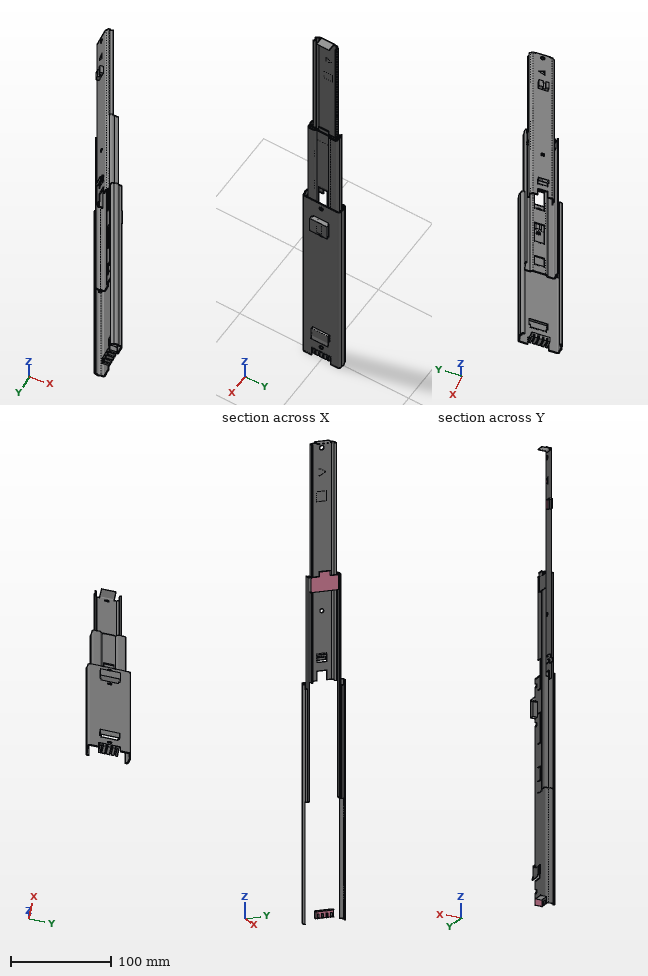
import cadquery as cq


SHEET = 1.2
HALF_SHEET = SHEET / 2
HOLE_DIAMETER = 4.5
PATH_END = -5.0
WINDOW_WIDTH = 10.5

OUTER_LENGTH = 250.0
OUTER_FRONT = -6.0
OUTER_BACK = 6.0
OUTER_HALF_WIDTH = 22.0
OUTER_BULGE_PEAK = 45.5 / 2
OUTER_BULGE_START = -3.0
OUTER_BULGE_END = 2.0
OUTER_LIP_END = 18.5
OUTER_BEND = 1.5
OUTER_HOLES_Z = (19.5, 200.5, 242.5)
NOTCH_WIDTH = 22.5
NOTCH_HEIGHT = 12.0

BRIDGE_BOTTOM = 206.5
BRIDGE_TOP = 226.0
BRIDGE_BACK = 11.0
BRIDGE_WIDTH = 20.5
BRIDGE_NECK_BACK = 7.5
BRIDGE_NECK_WIDTH = 18.0
BRIDGE_RECESS_WIDTH = 6.0

LATCH_TOP = 46.5
LATCH_STEP = 35.5
LATCH_BOTTOM = 31.0
LATCH_WIDTH = 20.0
LATCH_FOOT_WIDTH = 17.0
LATCH_PLATE_BACK = 8.5
LATCH_FOOT_BACK = 9.5

MIDDLE_BOTTOM = 127.0
MIDDLE_TOP = 361.0
MIDDLE_FRONT = -6.0
MIDDLE_BACK = 4.5
MIDDLE_HALF_WIDTH = 18.0
MIDDLE_RIDGE_FRONT = 1.7
MIDDLE_RIDGE_HALF_WIDTH = 7.0
MIDDLE_SLOPE_END = 9.5
MIDDLE_FLANGE_DROP = 0.6
MIDDLE_BULGE_PEAK_X = -3.0
MIDDLE_BULGE_END = -0.75
MIDDLE_BEND = 1.25
MIDDLE_WINDOWS_Z = ((139.5, 154.5), (180.0, 213.0), (238.5, 271.0))

INNER_BOTTOM = 250.0
INNER_BODY_TOP = 498.0
INNER_TOP = 500.0
INNER_FRONT = -7.5
INNER_BACK = 0.0
INNER_HALF_WIDTH = 13.5
INNER_WEB_HALF_WIDTH = 20.5 / 2
INNER_SHOULDER = -5.0
INNER_GROOVE_START = -3.75
INNER_GROOVE_DEPTH = 0.65
INNER_HOLE_Z = 492.5
INNER_PIN_HOLE_Z = 322.5
INNER_PIN_HOLE_DIAMETER = 4.0
END_NOTCH_HEIGHT = 10.0
END_FLANGE_WIDTH = 15.0
END_FLANGE_BACK = 2.5
END_FLANGE_BEND = 1.5
END_FLANGE_ROOT = 5.0

CLEAT_BOTTOM = 436.5
CLEAT_TOP = 447.0
CLEAT_GROOVE_LOW = -2.25
CLEAT_GROOVE_HIGH = 0.75
CLEAT_GROOVE_DEPTH = 2.0
HOOK_FRONT = -11.0

CATCH_TOP = 278.0
CATCH_PLATE_FRONT = -9.0
CATCH_STEP = 274.5
CATCH_LIP_BOTTOM = 270.0
CATCH_WINDOW_BOTTOM = 269.0

MARK_FRONT = -8.5
MARK_TAPER = 60
MARK_OUTLINE = ((4.5, 467.0), (-2.5, 471.0), (-2.5, 463.0))

CAGE_BOTTOM = 345.0
CAGE_TIP_TOP = 366.0
CAGE_TIP_WIDTH = 12.0
CAGE_FRONT = -4.5
CAGE_HALF_WIDTH = 15.0
CAGE_FLANGE_THICKNESS = 1.25

STRIP_BOTTOM = MIDDLE_BOTTOM
STRIP_TOP = 245.0
STRIP_FRONT = -1.0
STRIP_BACK = 1.5
STRIP_INSIDE = 18.5
STRIP_OUTSIDE = 20.5

BUMPER_WIDTH = 19.5
BUMPER_BOTTOM = 4.5
BUMPER_FRONT = -2.0
BUMPER_SLOT_WIDTH = 1.5
BUMPER_SLOT_HEIGHT = 4.5
BUMPER_SLOTS_Y = (-7.0, -2.5, 2.5, 7.0)


def block(x_range, y_range, z_range):
    """Box between two limits on each axis."""
    sides = [high - low for low, high in (x_range, y_range, z_range)]
    corner = (x_range[0], y_range[0], z_range[0])
    return cq.Workplane().box(*sides, centered=False).translate(corner)


def centred(width):
    return (-width / 2, width / 2)


def rail(half_path, bottom, top):
    """Bend sheet along a +Y half path that runs past y = 0, and mirror it to the -Y side."""
    length = top - bottom
    strip = half_path.offset2D(HALF_SHEET).extrude(length).translate((0, 0, bottom))
    limit = 2 * OUTER_HALF_WIDTH
    half = strip.intersect(block((-limit, limit), (0, limit), (bottom, top)))
    return half.union(half.mirror("XZ")).clean()


def hole(diameter, z):
    """Cutter through every web, along X."""
    depth = OUTER_BACK - INNER_FRONT
    return cq.Workplane("YZ", origin=(INNER_FRONT, 0, z)).circle(diameter / 2).extrude(depth)


def bent_plate(path, width):
    """Sheet bent along a path in the XZ plane, centred on y = 0."""
    return path.offset2D(HALF_SHEET).extrude(width / 2, both=True)


def outer_profile():
    lip = OUTER_FRONT + HALF_SHEET
    web = OUTER_BACK - HALF_SHEET
    side = OUTER_HALF_WIDTH - HALF_SHEET
    bulge_middle = (OUTER_BULGE_START + OUTER_BULGE_END) / 2
    return (
        cq.Workplane()
        .moveTo(lip, OUTER_LIP_END + HALF_SHEET)
        .lineTo(lip, side - OUTER_BEND)
        .tangentArcPoint((lip + OUTER_BEND, side), relative=False)
        .lineTo(OUTER_BULGE_START, side)
        .threePointArc((bulge_middle, OUTER_BULGE_PEAK - HALF_SHEET), (OUTER_BULGE_END, side))
        .lineTo(web - OUTER_BEND, side)
        .tangentArcPoint((web, side - OUTER_BEND), relative=False)
        .lineTo(web, PATH_END)
    )


def bridge_hook():
    """Mounting hook pressed out of the web, wider than its neck, with its recess cutter."""
    web_front = OUTER_BACK - SHEET
    z_range = (BRIDGE_BOTTOM, BRIDGE_TOP)
    neck = block((OUTER_BACK, BRIDGE_NECK_BACK), centred(BRIDGE_NECK_WIDTH), z_range)
    plate = block((BRIDGE_NECK_BACK, BRIDGE_BACK), centred(BRIDGE_WIDTH), z_range)
    recess = block(
        (web_front, BRIDGE_BACK - SHEET),
        centred(BRIDGE_RECESS_WIDTH),
        (BRIDGE_BOTTOM + SHEET, BRIDGE_TOP - SHEET),
    )
    return neck.union(plate), recess


def latch_hook():
    """Tab bent out of the web, stepping down to a flared foot."""
    plate = LATCH_PLATE_BACK - HALF_SHEET
    top = LATCH_TOP - HALF_SHEET
    path = (
        cq.Workplane("XZ")
        .moveTo(OUTER_BACK - HALF_SHEET, top)
        .lineTo(plate, top)
        .lineTo(plate, LATCH_STEP)
        .lineTo(LATCH_FOOT_BACK - HALF_SHEET, LATCH_BOTTOM + HALF_SHEET)
    )
    return bent_plate(path, LATCH_WIDTH)


def latch_window():
    web = (OUTER_BACK - SHEET, OUTER_BACK)
    upper = block(web, centred(LATCH_WIDTH), (LATCH_STEP, LATCH_TOP - SHEET))
    lower = block(web, centred(LATCH_FOOT_WIDTH), (LATCH_BOTTOM, LATCH_STEP))
    return upper.union(lower)


def build_outer_rail():
    body = rail(outer_profile(), 0, OUTER_LENGTH)
    body = body.cut(block((0, OUTER_BACK), centred(NOTCH_WIDTH), (0, NOTCH_HEIGHT)))
    for z in OUTER_HOLES_Z:
        body = body.cut(hole(HOLE_DIAMETER, z))
    bridge, recess = bridge_hook()
    body = body.union(bridge).cut(recess)
    return body.cut(latch_window()).union(latch_hook())


def middle_profile():
    lip = MIDDLE_FRONT + HALF_SHEET
    web = MIDDLE_BACK - HALF_SHEET
    peak = MIDDLE_HALF_WIDTH - HALF_SHEET
    side = peak - MIDDLE_FLANGE_DROP
    ridge = MIDDLE_RIDGE_FRONT + HALF_SHEET
    return (
        cq.Workplane()
        .moveTo(lip, side)
        .threePointArc((MIDDLE_BULGE_PEAK_X, peak), (MIDDLE_BULGE_END, side))
        .lineTo(web - MIDDLE_BEND, side)
        .tangentArcPoint((web, side - MIDDLE_BEND), relative=False)
        .lineTo(web, MIDDLE_SLOPE_END)
        .lineTo(ridge, MIDDLE_RIDGE_HALF_WIDTH)
        .lineTo(ridge, PATH_END)
    )


def build_middle_rail():
    body = rail(middle_profile(), MIDDLE_BOTTOM, MIDDLE_TOP)
    for window in MIDDLE_WINDOWS_Z:
        body = body.cut(block((0, MIDDLE_BACK), centred(WINDOW_WIDTH), window))
    return body


def inner_profile():
    web = INNER_FRONT + HALF_SHEET
    side = INNER_HALF_WIDTH - HALF_SHEET
    tip = INNER_BACK - HALF_SHEET
    groove_middle = (INNER_GROOVE_START + tip) / 2
    return (
        cq.Workplane()
        .moveTo(tip, side)
        .threePointArc((groove_middle, side - INNER_GROOVE_DEPTH), (INNER_GROOVE_START, side))
        .lineTo(INNER_SHOULDER, side)
        .lineTo(web, INNER_WEB_HALF_WIDTH)
        .lineTo(web, PATH_END)
    )


def end_flange():
    """Flange that bends from the top of the web over the end of the rail."""
    web = INNER_FRONT + HALF_SHEET
    top = INNER_TOP - HALF_SHEET
    path = (
        cq.Workplane("XZ")
        .moveTo(web, top - END_FLANGE_ROOT)
        .lineTo(web, top - END_FLANGE_BEND)
        .tangentArcPoint((web + END_FLANGE_BEND, top), relative=False)
        .lineTo(END_FLANGE_BACK - HALF_SHEET, top)
    )
    return bent_plate(path, END_FLANGE_WIDTH)


def catch_hook():
    """Tab bent out of the web and turned down, with a lip stepped away from the web."""
    top = CATCH_TOP - HALF_SHEET
    plate = CATCH_PLATE_FRONT + HALF_SHEET
    step = CATCH_STEP - HALF_SHEET
    tip = HOOK_FRONT + HALF_SHEET
    path = (
        cq.Workplane("XZ")
        .moveTo(INNER_FRONT + HALF_SHEET, top)
        .lineTo(plate, top)
        .lineTo(plate, step)
        .lineTo(tip, step)
        .lineTo(tip, CATCH_LIP_BOTTOM + HALF_SHEET)
    )
    return bent_plate(path, WINDOW_WIDTH)


def cleat():
    """Block on the web with a vertical groove in its front."""
    z_range = (CLEAT_BOTTOM, CLEAT_TOP)
    body = block((HOOK_FRONT, INNER_FRONT), centred(WINDOW_WIDTH), z_range)
    groove_x = (HOOK_FRONT, HOOK_FRONT + CLEAT_GROOVE_DEPTH)
    return body.cut(block(groove_x, (CLEAT_GROOVE_LOW, CLEAT_GROOVE_HIGH), z_range))


def raised_mark():
    """Small triangle on the web, with sloping sides."""
    outline = cq.Workplane("YZ", origin=(INNER_FRONT, 0, 0)).polyline(MARK_OUTLINE).close()
    return outline.extrude(MARK_FRONT - INNER_FRONT, taper=MARK_TAPER)


def build_inner_rail():
    web = (INNER_FRONT, INNER_FRONT + SHEET)
    body = rail(inner_profile(), INNER_BOTTOM, INNER_BODY_TOP).union(end_flange())
    body = body.cut(hole(HOLE_DIAMETER, INNER_HOLE_Z))
    body = body.cut(hole(INNER_PIN_HOLE_DIAMETER, INNER_PIN_HOLE_Z))
    body = body.cut(block(web, centred(WINDOW_WIDTH), (INNER_BOTTOM, INNER_BOTTOM + END_NOTCH_HEIGHT)))
    body = body.cut(block(web, centred(WINDOW_WIDTH), (CATCH_WINDOW_BOTTOM, CATCH_TOP - SHEET)))
    return body.union(catch_hook()).union(raised_mark()).union(cleat())


def build_inner_cage():
    """U-shaped cage around the inner rail, with a tongue above its web."""
    z_range = (CAGE_BOTTOM, MIDDLE_TOP)
    web_x = (MIDDLE_RIDGE_FRONT - SHEET, MIDDLE_RIDGE_FRONT)
    inside = CAGE_HALF_WIDTH - CAGE_FLANGE_THICKNESS
    cage = block((CAGE_FRONT, web_x[1]), centred(2 * CAGE_HALF_WIDTH), z_range)
    cage = cage.cut(block((CAGE_FRONT, web_x[0]), centred(2 * inside), z_range))
    return cage.union(block(web_x, centred(CAGE_TIP_WIDTH), (CAGE_BOTTOM, CAGE_TIP_TOP)))


def build_outer_cage(side):
    """Straight cage strip between the outer and middle rail flanges."""
    y_range = sorted((side * STRIP_INSIDE, side * STRIP_OUTSIDE))
    return block((STRIP_FRONT, STRIP_BACK), y_range, (STRIP_BOTTOM, STRIP_TOP))


def build_bumper():
    """End stop that sits in the notch of the outer rail, slotted from below."""
    x_range = (BUMPER_FRONT, OUTER_BACK)
    body = block(x_range, centred(BUMPER_WIDTH), (BUMPER_BOTTOM, NOTCH_HEIGHT))
    slot_z = (BUMPER_BOTTOM, BUMPER_BOTTOM + BUMPER_SLOT_HEIGHT)
    slot = block(x_range, centred(BUMPER_SLOT_WIDTH), slot_z)
    for y in BUMPER_SLOTS_Y:
        body = body.cut(slot.translate((0, y, 0)))
    return body


outer_rail = build_outer_rail()
middle_rail = build_middle_rail()
inner_rail = build_inner_rail()
inner_cage = build_inner_cage()
outer_cages = [build_outer_cage(side) for side in (1, -1)]
bumper = build_bumper()

result = cq.Compound.makeCompound(
    [
        outer_rail.val(),
        middle_rail.val(),
        inner_rail.val(),
        inner_cage.val(),
        *[cage.val() for cage in outer_cages],
        bumper.val(),
    ]
)